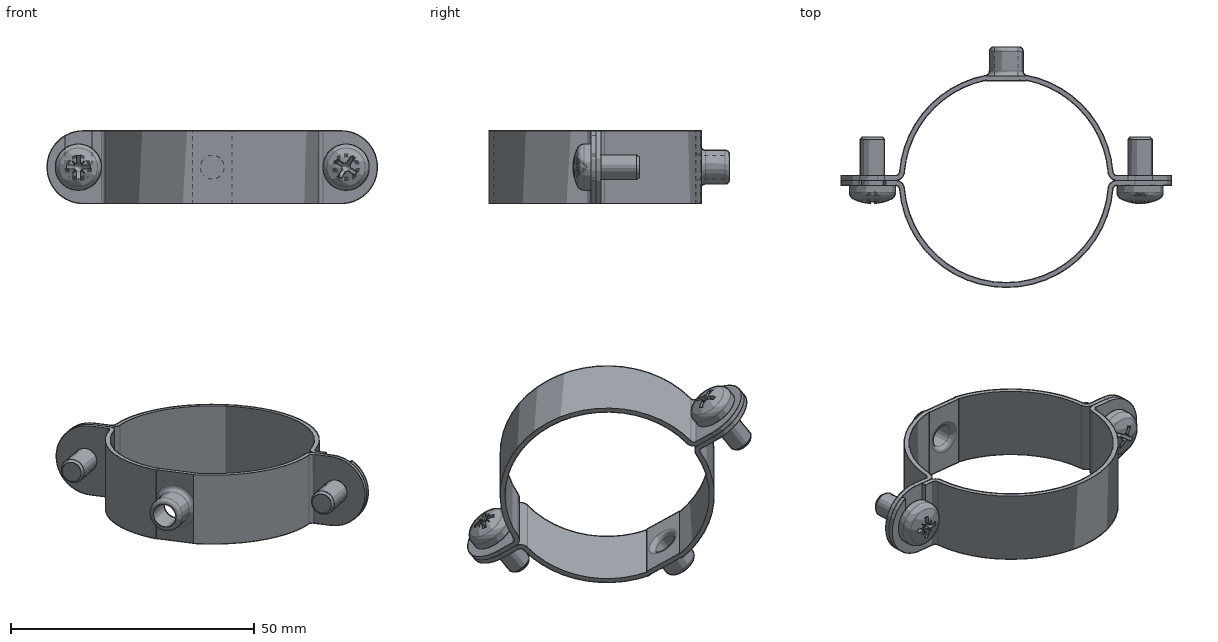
import cadquery as cq
import math


overall_length = 68.0
band_width = 15.0
sheet = 1.0
ring_outer_radius = 22.0
ear_bend_radius = 0.8

pad_length = 8.15
pad_outer_y = 21.5
collar_top_y = 27.5
collar_diameter = 7.0
collar_bore = 4.9
collar_root_radius = 1.0
collar_rim_radius = 0.95

screw_x = 27.55
clearance_width = 5.5
shank_diameter = 5.0
neck_diameter = 4.55
tip_diameter = 4.15
tip_length = 0.6
screw_length = 10.0
head_diameter = 9.5
head_height = 3.75
head_wall_height = 2.3
head_edge_radius = 1.5

recess_depth = 2.05
recess_mouth_radius = 2.8
recess_hub_radius = 0.9
recess_arm_width = 0.8
star_slit_length = 3.4
star_slit_width = 0.15
star_slit_depth = 0.7
right_screw_turn = 57.0

ear_end_x = overall_length / 2
ring_inner_radius = ring_outer_radius - sheet
shank_radius = shank_diameter / 2
head_seat_y = -sheet
pad_inner_y = pad_outer_y - sheet

quarter_arc_inset = 1 - math.sqrt(0.5)

bend_centre_y = sheet + ear_bend_radius
bend_centre_distance = ring_outer_radius + ear_bend_radius
bend_centre_x = math.sqrt(bend_centre_distance**2 - bend_centre_y**2)
ring_end_angle = math.atan2(bend_centre_y, bend_centre_x)


def mirrored(point):
    return (-point[0], point[1])


def bend_points(bend_radius):
    """Ear end, middle and ring end of a bend arc on the +X side."""
    ear_angle = -math.pi / 2
    ring_angle = ring_end_angle - math.pi
    return [
        (
            bend_centre_x + bend_radius * math.cos(angle),
            bend_centre_y + bend_radius * math.sin(angle),
        )
        for angle in (ear_angle, (ear_angle + ring_angle) / 2, ring_angle)
    ]


def y_cylinder(x, diameter, y_start, y_end):
    """Cylinder along +Y between two y positions, centred on z = 0."""
    return (
        cq.Workplane("XZ", origin=(x, y_start, 0))
        .circle(diameter / 2)
        .extrude(y_start - y_end)
    )


def half_band():
    """Half ring with a flat ear at each end, on the +Y side of the split."""
    inner_ear, inner_mid, inner_ring = bend_points(ear_bend_radius + sheet)
    outer_ear, outer_mid, outer_ring = bend_points(ear_bend_radius)
    band = (
        cq.Workplane("XY", origin=(0, 0, -band_width / 2))
        .moveTo(ear_end_x, 0)
        .lineTo(*inner_ear)
        .threePointArc(inner_mid, inner_ring)
        .threePointArc((0, ring_inner_radius), mirrored(inner_ring))
        .threePointArc(mirrored(inner_mid), mirrored(inner_ear))
        .lineTo(-ear_end_x, 0)
        .lineTo(-ear_end_x, sheet)
        .lineTo(*mirrored(outer_ear))
        .threePointArc(mirrored(outer_mid), mirrored(outer_ring))
        .threePointArc((0, ring_outer_radius), outer_ring)
        .threePointArc(outer_mid, outer_ear)
        .lineTo(ear_end_x, sheet)
        .close()
        .extrude(band_width)
    )
    rounded_ends = (
        cq.Workplane("XZ")
        .slot2D(overall_length, band_width)
        .extrude(-ring_outer_radius)
    )
    return band.intersect(rounded_ends)


def collar():
    """Collar standing on the pad, with a flared root and a rounded rim."""
    radius = collar_diameter / 2
    root_radius = radius + collar_root_radius
    root_mid = (
        radius + collar_root_radius * quarter_arc_inset,
        pad_outer_y + collar_root_radius * quarter_arc_inset,
    )
    rim_mid = (
        radius - collar_rim_radius * quarter_arc_inset,
        collar_top_y - collar_rim_radius * quarter_arc_inset,
    )
    return (
        cq.Workplane("XY")
        .moveTo(0, pad_outer_y)
        .lineTo(root_radius, pad_outer_y)
        .threePointArc(root_mid, (radius, pad_outer_y + collar_root_radius))
        .lineTo(radius, collar_top_y - collar_rim_radius)
        .threePointArc(rim_mid, (radius - collar_rim_radius, collar_top_y))
        .lineTo(0, collar_top_y)
        .close()
        .revolve(360, (0, 0), (0, 1))
    )


def collar_hole():
    """Through bore whose inner mouth is rounded like the drawn-out sheet."""
    radius = collar_bore / 2
    mouth_mid = (
        radius + collar_root_radius * quarter_arc_inset,
        pad_inner_y + collar_root_radius * quarter_arc_inset,
    )
    return (
        cq.Workplane("XY")
        .moveTo(0, pad_inner_y)
        .lineTo(radius + collar_root_radius, pad_inner_y)
        .threePointArc(mouth_mid, (radius, pad_inner_y + collar_root_radius))
        .lineTo(radius, collar_top_y)
        .lineTo(0, collar_top_y)
        .close()
        .revolve(360, (0, 0), (0, 1))
    )


def make_upper_clamp():
    """Upper half: flattened top with the collar, and tight screw holes."""
    pad_gap = cq.Workplane("XY").box(pad_length, ring_outer_radius, band_width)
    pad_gap = pad_gap.translate((0, ring_outer_radius, 0))
    pad = cq.Workplane("XY").box(pad_length, sheet, band_width)
    pad = pad.translate((0, pad_outer_y - sheet / 2, 0))
    clamp = half_band().cut(pad_gap).union(pad).union(collar()).cut(collar_hole())
    for x in (-screw_x, screw_x):
        clamp = clamp.cut(y_cylinder(x, shank_diameter, 0, sheet))
    return clamp


def make_lower_clamp():
    """Lower half: open slot in the left ear, round clearance hole in the right."""
    clamp = half_band().mirror("XZ")
    for x in (-screw_x, screw_x):
        clamp = clamp.cut(y_cylinder(x, clearance_width, -sheet, 0))
    slot_height = band_width / 2
    slot = cq.Workplane("XY").box(clearance_width, sheet, slot_height)
    slot = slot.translate((-screw_x, -sheet / 2, slot_height / 2))
    return clamp.cut(slot)


def screw_head():
    """Domed head on the XY plane, rising along +Z."""
    radius = head_diameter / 2
    dome_rise = head_height - head_wall_height
    dome_radius = (radius**2 + dome_rise**2) / (2 * dome_rise)
    mid_radius = radius / 2
    mid_height = head_height - dome_radius + math.sqrt(dome_radius**2 - mid_radius**2)
    head = (
        cq.Workplane("XZ")
        .lineTo(radius, 0)
        .lineTo(radius, head_wall_height)
        .threePointArc((mid_radius, mid_height), (0, head_height))
        .close()
        .revolve(360, (0, 0), (0, 1))
    )
    wall_edges = head.edges(cq.selectors.RadiusNthSelector(0))
    return wall_edges.edges(">Z").fillet(head_edge_radius)


def cross_recess(has_star_slits):
    """Four tapering arms around a hub with a conical bottom."""
    floor_height = head_height - recess_depth
    taper = cq.Workplane("XY").add(
        cq.Solid.makeCone(
            recess_hub_radius,
            recess_mouth_radius,
            recess_depth,
            pnt=cq.Vector(0, 0, floor_height),
        )
    )
    arm_length = 2 * recess_mouth_radius
    cross = (
        cq.Workplane("XY", origin=(0, 0, floor_height))
        .rect(arm_length, recess_arm_width)
        .extrude(recess_depth)
    )
    cross = cross.union(cross.rotate((0, 0, 0), (0, 0, 1), 90))
    hub = (
        cq.Workplane("XY", origin=(0, 0, floor_height))
        .circle(recess_hub_radius)
        .extrude(recess_depth)
    )
    hub_tip = cq.Workplane("XY").add(
        cq.Solid.makeCone(
            0,
            recess_hub_radius,
            recess_hub_radius,
            pnt=cq.Vector(0, 0, floor_height - recess_hub_radius),
        )
    )
    recess = cross.intersect(taper).union(hub).union(hub_tip)
    if has_star_slits:
        for angle in (45, 135):
            slit = (
                cq.Workplane("XY", origin=(0, 0, head_height - star_slit_depth))
                .transformed(rotate=(0, 0, angle))
                .rect(star_slit_length, star_slit_width)
                .extrude(star_slit_depth)
            )
            recess = recess.union(slit)
    return recess


def screw_shank():
    """Neck through the lower ear, thread-size shank and tapered tip, along -Z."""
    neck_radius = neck_diameter / 2
    return (
        cq.Workplane("XZ")
        .lineTo(neck_radius, 0)
        .lineTo(neck_radius, -sheet)
        .lineTo(shank_radius, -sheet)
        .lineTo(shank_radius, tip_length - screw_length)
        .lineTo(tip_diameter / 2, -screw_length)
        .lineTo(0, -screw_length)
        .close()
        .revolve(360, (0, 0), (0, 1))
    )


def make_screw(x, turn, has_star_slits):
    """Screw seated on the lower ear, its head facing -Y and its recess turned."""
    recess = cross_recess(has_star_slits)
    screw = screw_head().union(screw_shank()).cut(recess)
    return (
        screw.rotate((0, 0, 0), (0, 0, 1), turn)
        .rotate((0, 0, 0), (1, 0, 0), 90)
        .translate((x, head_seat_y, 0))
    )


upper_clamp = make_upper_clamp()
lower_clamp = make_lower_clamp()
screws = [
    make_screw(x, turn, has_star_slits)
    for x, turn, has_star_slits in (
        (-screw_x, 0, True),
        (screw_x, right_screw_turn, False),
    )
]

result = cq.Compound.makeCompound(
    [upper_clamp.solids().val(), lower_clamp.solids().val(), *[screw.solids().val() for screw in screws]]
)